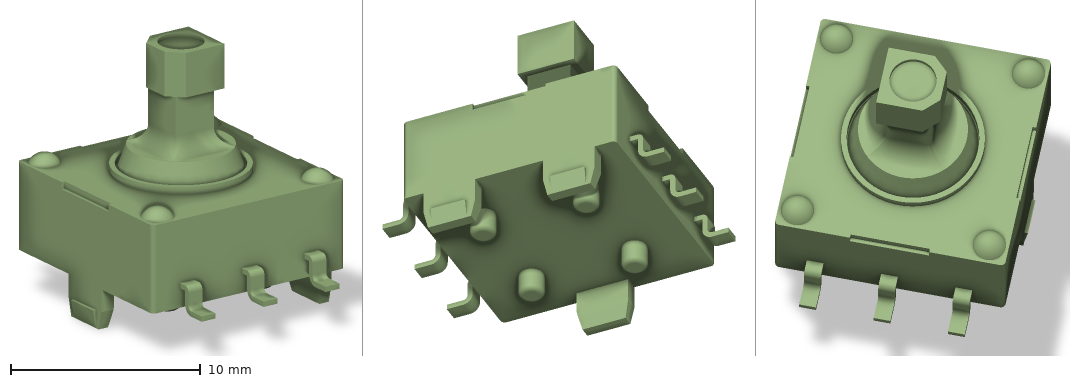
import cadquery as cq


body_side = 12.4
body_height = 4.95
body_corner_radius = 0.25
half_body = body_side / 2

notch_length = 4.26
notch_depth = 0.2
notch_height = 0.4

rivet_diameter = 1.75
rivet_height = 0.55
rivet_offset = 5.17

collar_outer_diameter = 7.6
collar_inner_diameter = 7.0
collar_height = 0.43
cone_base_diameter = 6.9
cone_top_diameter = 5.8
cone_height = 1.51
cone_top_z = body_height + cone_height

stem_side = 2.5
flare_radius = 1.0

head_side = 3.3
head_height = 2.5
head_bevel = 0.8
head_top_z = 12.19
head_bottom_z = head_top_z - head_height
recess_diameter = 2.5
recess_depth = 0.25

peg_diameter = 1.4
peg_length = 1.28
peg_tip_radius = 0.26
peg_offset = 3.0

leg_width = 3.0
leg_thickness = 0.8
leg_length = 2.31
leg_taper_start = 1.28
leg_side_taper = 0.25
leg_inner_taper = 0.2
leg_inner_radius = 2.5
barb_width = 2.0
barb_projection = 0.2
rear_leg_offset = 3.48

terminal_span = 16.4
terminal_width = 0.9
terminal_thickness = 0.3
terminal_pitch = 4.0
terminal_top_z = 1.4
terminal_foot_z = -0.2
terminal_riser_x = 6.84
terminal_shoulder_radius = 0.33
terminal_heel_inner_radius = 0.26


def make_body():
    """Square housing with rounded corners and edge notches on the -Y, +Y and -X sides."""
    body = cq.Workplane("XY").box(body_side, body_side, body_height, centered=(True, True, False))
    body = body.edges("|Z").fillet(body_corner_radius)
    notch = cq.Workplane("XY").box(notch_length, 2 * notch_depth, 2 * notch_height)
    notch = notch.translate((0, -half_body, body_height))
    for angle in (0, 180, 270):
        body = body.cut(notch.rotate((0, 0, 0), (0, 0, 1), angle))
    return body


def make_rivets():
    """Spherical caps near the four corners of the cover."""
    base_radius = rivet_diameter / 2
    sphere_radius = (base_radius**2 + rivet_height**2) / (2 * rivet_height)
    cap = (
        cq.Workplane("XZ")
        .lineTo(base_radius, 0)
        .radiusArc((0, rivet_height), -sphere_radius)
        .close()
        .revolve(360, (0, 0, 0), (0, 1, 0))
    )
    corners = cq.Workplane("XY").workplane(offset=body_height)
    corners = corners.rect(2 * rivet_offset, 2 * rivet_offset, forConstruction=True).vertices()
    return corners.eachpoint(lambda place: cap.val().moved(place))


def make_collar_and_cone():
    """Thin raised collar with the conical base of the actuator just inside it."""
    cover = cq.Workplane("XY").workplane(offset=body_height)
    collar = cover.circle(collar_outer_diameter / 2).circle(collar_inner_diameter / 2).extrude(collar_height)
    cone = (
        cover.circle(cone_base_diameter / 2)
        .workplane(offset=cone_height)
        .circle(cone_top_diameter / 2)
        .loft(ruled=True)
    )
    return collar.union(cone)


def make_stem():
    """Square stem whose four faces curve outwards, trimmed to the top circle of the cone."""
    half_stem = stem_side / 2
    half_flare = half_stem + flare_radius
    flare_top_z = cone_top_z + flare_radius

    def flared_slab(plane):
        return (
            cq.Workplane(plane)
            .moveTo(-half_flare, cone_top_z)
            .radiusArc((-half_stem, flare_top_z), -flare_radius)
            .lineTo(-half_stem, head_bottom_z)
            .lineTo(half_stem, head_bottom_z)
            .lineTo(half_stem, flare_top_z)
            .radiusArc((half_flare, cone_top_z), -flare_radius)
            .close()
            .extrude(half_flare, both=True)
        )

    trim = cq.Workplane("XY").circle(cone_top_diameter / 2).extrude(head_top_z)
    return flared_slab("XZ").intersect(flared_slab("YZ")).intersect(trim)


def make_head():
    """Square head with its two -Y corners bevelled and a shallow recess on top."""
    head = (
        cq.Workplane("XY")
        .workplane(offset=head_bottom_z)
        .rect(head_side, head_side)
        .extrude(head_height)
        .edges("|Z and <Y")
        .chamfer(head_bevel)
    )
    return head.faces(">Z").workplane(origin=(0, 0, 0)).hole(recess_diameter, recess_depth)


def make_pegs():
    """Four round pegs under the housing with rounded tips."""
    return (
        cq.Workplane("XY")
        .rect(2 * peg_offset, 2 * peg_offset, forConstruction=True)
        .vertices()
        .circle(peg_diameter / 2)
        .extrude(-peg_length)
        .faces("<Z")
        .edges()
        .fillet(peg_tip_radius)
    )


def make_leg():
    """Leg hanging below the -Y face, centred on x = 0, with a barb on its outside."""
    outer_y = -half_body
    inner_y = outer_y + leg_thickness
    half_width = leg_width / 2
    front = (
        cq.Workplane("XZ")
        .polyline([
            (-half_width, 0),
            (half_width, 0),
            (half_width, -leg_taper_start),
            (half_width - leg_side_taper, -leg_length),
            (leg_side_taper - half_width, -leg_length),
            (-half_width, -leg_taper_start),
        ])
        .close()
        .extrude(body_side, both=True)
    )
    leg = (
        cq.Workplane("YZ")
        .polyline([
            (outer_y, 0),
            (inner_y, 0),
            (inner_y, -leg_taper_start),
            (inner_y - leg_inner_taper, -leg_length),
            (outer_y, -leg_length),
        ])
        .close()
        .extrude(half_width, both=True)
        .edges(cq.selectors.NearestToPointSelector((0, inner_y, -leg_taper_start)))
        .fillet(leg_inner_radius)
        .intersect(front)
    )
    barb = (
        cq.Workplane("YZ")
        .polyline([
            (outer_y, -leg_taper_start),
            (outer_y - barb_projection, -leg_taper_start),
            (outer_y, -leg_length),
        ])
        .close()
        .extrude(barb_width / 2, both=True)
    )
    return leg.union(barb)


def make_legs():
    """One leg on the -Y side and two on the +Y side."""
    leg = make_leg()
    rear_leg = leg.rotate((0, 0, 0), (0, 0, 1), 180)
    legs = leg
    for x in (-rear_leg_offset, rear_leg_offset):
        legs = legs.union(rear_leg.translate((x, 0, 0)))
    return legs


def make_terminal():
    """Bent strip leaving the middle of the +X face, with a shoulder, a riser and a foot."""
    riser_outer_x = terminal_riser_x + terminal_thickness / 2
    riser_inner_x = terminal_riser_x - terminal_thickness / 2
    tip_x = terminal_span / 2
    shoulder_z = terminal_top_z - terminal_thickness
    sole_top_z = terminal_foot_z + terminal_thickness
    strip = (
        cq.Workplane("XZ")
        .polyline([
            (half_body, terminal_top_z),
            (riser_outer_x, terminal_top_z),
            (riser_outer_x, sole_top_z),
            (tip_x, sole_top_z),
            (tip_x, terminal_foot_z),
            (riser_inner_x, terminal_foot_z),
            (riser_inner_x, shoulder_z),
            (half_body, shoulder_z),
        ])
        .close()
        .extrude(terminal_width / 2, both=True)
    )
    bends = (
        (riser_outer_x, terminal_top_z, terminal_shoulder_radius),
        (riser_outer_x, sole_top_z, terminal_heel_inner_radius),
        (riser_inner_x, terminal_foot_z, terminal_heel_inner_radius + terminal_thickness),
    )
    for x, z, radius in bends:
        strip = strip.edges(cq.selectors.NearestToPointSelector((x, 0, z))).fillet(radius)
    return strip


def make_terminals():
    """Three terminals on each of the +X and -X sides."""
    terminal = make_terminal()
    row = cq.Workplane("XY")
    for y in (-terminal_pitch, 0, terminal_pitch):
        row = row.add(terminal.translate((0, y, 0)).val())
    return row.add(row.rotate((0, 0, 0), (0, 0, 1), 180).vals())


features = (
    make_rivets(),
    make_collar_and_cone(),
    make_stem(),
    make_head(),
    make_pegs(),
    make_legs(),
    make_terminals(),
)
result = make_body()
for feature in features:
    result = result.union(feature)